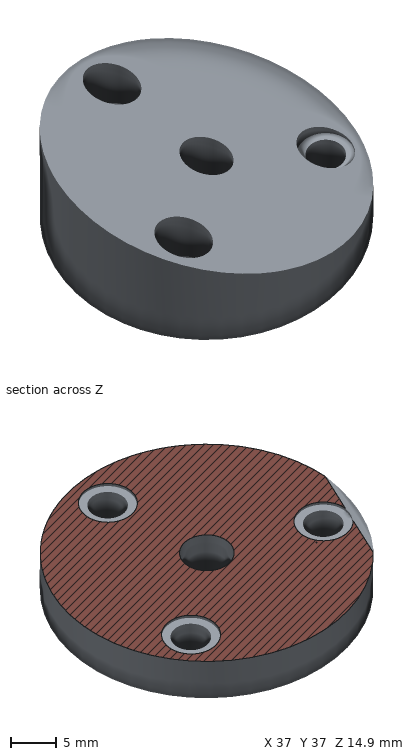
import cadquery as cq

disc_diameter = 37.0
full_height = 14.88
low_edge_height = 5.0

center_hole_diameter = 6.0
screw_hole_diameter = 4.5
counterbore_diameter = 6.5
counterbore_floor_height = 5.0

low_screw_y = 14.0
high_screw_y = -6.91
high_left_screw_x = -12.02
high_right_screw_x = 12.18
screw_centers = [
    (0, low_screw_y),
    (high_left_screw_x, high_screw_y),
    (high_right_screw_x, high_screw_y),
]

disc_radius = disc_diameter / 2


def make_wedge_disc():
    """Upright cylinder whose top slopes down from -Y to +Y."""
    side_profile = [
        (-disc_radius, 0),
        (disc_radius, 0),
        (disc_radius, low_edge_height),
        (-disc_radius, full_height),
    ]
    wedge = cq.Workplane("YZ").polyline(side_profile).close().extrude(disc_radius, both=True)
    cylinder = cq.Workplane("XY").circle(disc_radius).extrude(full_height)
    return cylinder.intersect(wedge)


def make_bore(x, y, diameter, floor_height=0.0):
    """Vertical cutter from floor_height up to the highest point of the part."""
    bore = cq.Workplane("XY", origin=(x, y, floor_height))
    return bore.circle(diameter / 2).extrude(full_height - floor_height)


result = make_wedge_disc().cut(make_bore(0, 0, center_hole_diameter))

for screw_x, screw_y in screw_centers:
    result = result.cut(make_bore(screw_x, screw_y, screw_hole_diameter))
    result = result.cut(make_bore(screw_x, screw_y, counterbore_diameter, counterbore_floor_height))